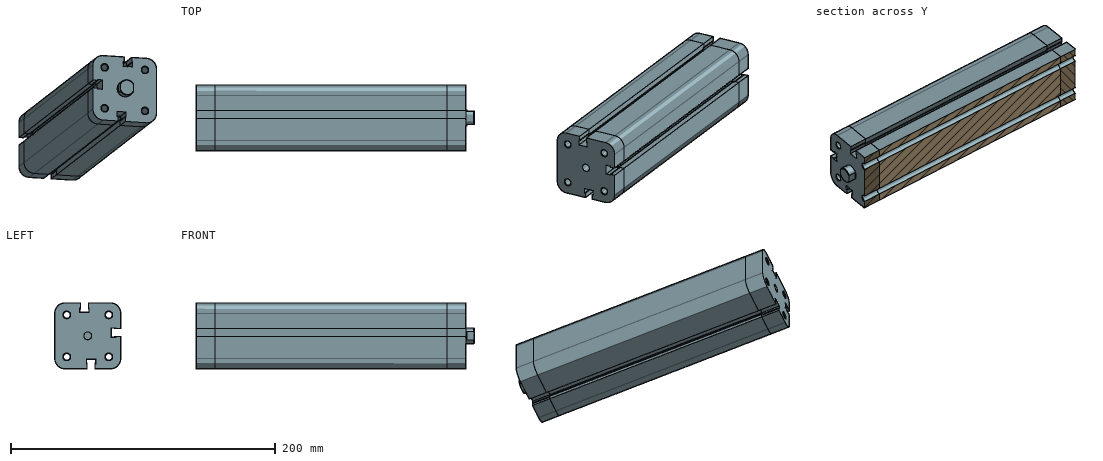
import cadquery as cq

total_length = 210.5
side = 50.0
corner_radius = 8.0
cap_length = 14.3
rod_projection = 6.3
barrel_length = total_length - rod_projection - 2 * cap_length

slot_offset = 2.5
slot_mouth = 5.9
slot_angles = (0, 90, 180)
cap_slot_lip = 3.8
cap_slot_depth = 7.4
cap_undercut = 7.2

barrel_slot_lip = 4.6
barrel_slot_depth = 7.2
barrel_undercut = 6.7

hole_spacing = 31.8
hole_diameter = 5.0
hole_chamfer = 0.5

port_diameter = 5.9

rod_diameter = 12.0
rod_across_flats = 10.0
rod_collar = 0.6
rod_chamfer = 0.5

rear_face = -total_length / 2
barrel_start = rear_face + cap_length
barrel_end = barrel_start + barrel_length
front_face = barrel_end + cap_length


def plane_at(x):
    """Section plane at x, with local x along +Y and local y along +Z."""
    return cq.Workplane("YZ", origin=(x, 0, 0))


def slot_cutter(x, length, lip, depth, undercut):
    """Groove with a narrow mouth and a wider floor, for the +Z face."""
    top = side / 2
    mouth = plane_at(x).center(slot_offset, top - depth / 2).rect(slot_mouth, depth).extrude(length)
    pocket_height = depth - lip
    pocket_centre = top - lip - pocket_height / 2
    pocket = plane_at(x).center(slot_offset, pocket_centre).rect(undercut, pocket_height).extrude(length)
    return mouth.union(pocket)


def slotted_block(x, length, lip, depth, undercut):
    """Rounded square block with its slots and corner holes."""
    block = plane_at(x).rect(side, side).extrude(length).edges("|X").fillet(corner_radius)
    cutter = slot_cutter(x, length, lip, depth, undercut)
    for angle in slot_angles:
        block = block.cut(cutter.rotate((0, 0, 0), (1, 0, 0), angle))
    holes = plane_at(x).rect(hole_spacing, hole_spacing, forConstruction=True).vertices()
    return block.cut(holes.circle(hole_diameter / 2).extrude(length))


def barrel_tube():
    """Long slotted profile between the two caps."""
    return slotted_block(barrel_start, barrel_length, barrel_slot_lip, barrel_slot_depth, barrel_undercut)


def end_cap(x, outer_face, bore_diameter):
    """End cap with a central bore right through it and hole chamfers on its outer face."""
    cap = slotted_block(x, cap_length, cap_slot_lip, cap_slot_depth, cap_undercut)
    hole_rims = cap.faces(outer_face).edges("%CIRCLE").edges(cq.selectors.RadiusNthSelector(0))
    cap = hole_rims.chamfer(hole_chamfer)
    return cap.cut(plane_at(x).circle(bore_diameter / 2).extrude(cap_length))


def piston_rod():
    """Rod through the front cap, with two flats facing -Y and +Y."""
    rod = plane_at(barrel_end).circle(rod_diameter / 2).extrude(cap_length + rod_projection)
    rod = rod.faces(">X").chamfer(rod_chamfer)
    flat_length = rod_projection - rod_collar
    flat_start = front_face + rod_collar
    side_cut = (rod_diameter - rod_across_flats) / 2
    for direction in (-1, 1):
        cut_centre = direction * (rod_across_flats + side_cut) / 2
        sketch = plane_at(flat_start).center(cut_centre, 0).rect(side_cut, rod_diameter)
        rod = rod.cut(sketch.extrude(flat_length))
    return rod


barrel = barrel_tube()
rear_cap = end_cap(rear_face, "<X", port_diameter)
front_cap = end_cap(barrel_end, ">X", rod_diameter)
rod = piston_rod()

result = cq.Compound.makeCompound([barrel.val(), rear_cap.val(), front_cap.val(), rod.val()])